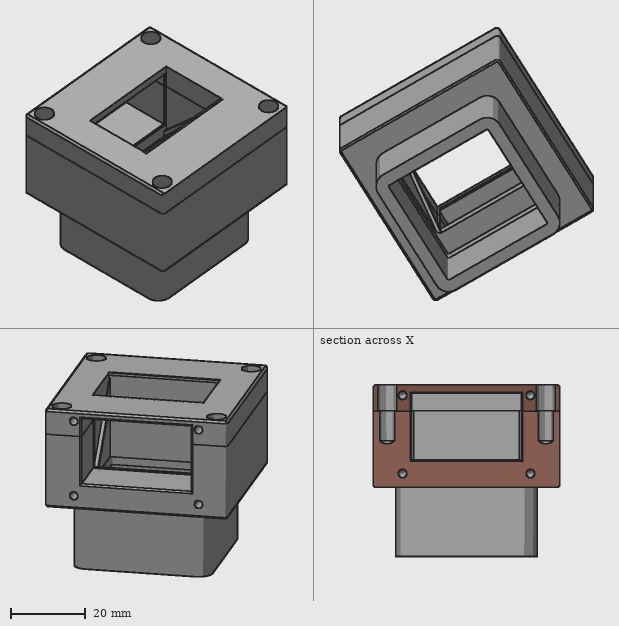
import cadquery as cq

block_side = 50.0
collar_height = 18.49
housing_height = 20.5
lid_height = 7.0
seam_z = collar_height + housing_height
top_z = seam_z + lid_height
corner_radius = 1.0
cut_overshoot = 1.0
top_chamfer = 0.6
bottom_chamfer = 0.5

collar_side = 37.9
collar_center_x = -0.76
collar_corner_radius = 3.9
collar_wall = 3.4
collar_bore = collar_side - 2 * collar_wall
bore_corner_radius = collar_corner_radius - collar_wall
bore_recess_depth = 3.7
shelf_z = collar_height + bore_recess_depth

cavity_min_x = -10.2
cavity_max_x = 10.2
cavity_width = 30.0

slot_width = 30.4
seat_offset = 34.1
slot_corner_x = cavity_max_x
slot_corner_z = top_z + 0.01
opening_max_x = 9.5

rail_gap = 28.2
rail_face_length = 1.6
rail_slope = (cavity_width - rail_gap) / 2
rail_root_depth = 1.0

window_width = cavity_width
window_bottom_z = 25.6
window_top_z = 43.95
window_end_x = -10.75
window_chamfer = 0.5
lip = 0.3

drill_tip_ratio = 0.6
lid_hole_spacing = 42.45
lid_hole_diameter = 5.2
insert_hole_diameter = 4.2
insert_hole_depth = 8.0
side_hole_diameter = 2.2
side_hole_depth = 6.0
side_hole_spacing = 34.2
side_hole_heights = (22.2, 43.15)


def box(min_x, max_x, width, min_z, max_z):
    """A box centred on the XZ plane."""
    return (
        cq.Workplane("XY")
        .box(max_x - min_x, width, max_z - min_z, centered=(False, True, False))
        .translate((min_x, 0, min_z))
    )


def blind_hole(diameter, depth):
    """A drill shape going down from the origin, with a conical tip."""
    radius = diameter / 2
    return (
        cq.Workplane("XZ")
        .polyline([(0, 0), (radius, 0), (radius, -depth), (0, -depth - radius * drill_tip_ratio)])
        .close()
        .revolve(360, (0, 0, 0), (0, 1, 0))
    )


def bore(height):
    """The collar's bore as a solid standing on Z = 0."""
    return (
        cq.Workplane("XY")
        .center(collar_center_x, 0)
        .rect(collar_bore, collar_bore)
        .extrude(height)
        .edges("|Z")
        .fillet(bore_corner_radius)
    )


def plate_slot():
    """The slot above the slanted seat, together with the opening over it."""
    roof_offset = slot_corner_z - slot_corner_x
    outline = [
        (cavity_min_x, cavity_min_x + seat_offset),
        (slot_corner_x, slot_corner_x + seat_offset),
        (slot_corner_x, slot_corner_z),
        (opening_max_x, opening_max_x + roof_offset),
        (opening_max_x, top_z + cut_overshoot),
        (cavity_min_x, top_z + cut_overshoot),
    ]
    return cq.Workplane("XZ").polyline(outline).close().extrude(slot_width / 2, both=True)


def lower_cavity():
    """The part of the cavity under the seat, down to the shelf."""
    outline = [
        (cavity_min_x, shelf_z),
        (cavity_max_x, shelf_z),
        (cavity_max_x, cavity_max_x + seat_offset),
        (cavity_min_x, cavity_min_x + seat_offset),
    ]
    return cq.Workplane("XZ").polyline(outline).close().extrude(cavity_width / 2, both=True)


def side_window():
    """The chamfered window in the -X wall, ending in a slightly smaller lip."""
    wall_x = -block_side / 2
    tunnel = box(wall_x, window_end_x, window_width, window_bottom_z, window_top_z)
    lip_opening = box(
        window_end_x, cavity_min_x, window_width - 2 * lip, window_bottom_z + lip, window_top_z - lip
    )
    mouth = (
        cq.Workplane("YZ", origin=(wall_x, 0, (window_bottom_z + window_top_z) / 2))
        .rect(window_width + 2 * window_chamfer, window_top_z - window_bottom_z + 2 * window_chamfer)
        .workplane(offset=window_chamfer)
        .rect(window_width, window_top_z - window_bottom_z)
        .loft(ruled=True)
    )
    return tunnel.union(lip_opening).union(mouth)


def rail(side):
    """One 45-degree rail on the wall at +Y (side = 1) or -Y (side = -1)."""
    top_x = seam_z - seat_offset
    run = seam_z - shelf_z
    inner_y = rail_gap / 2
    wall_y = inner_y + rail_slope
    root_y = wall_y + rail_root_depth
    section = [
        (top_x, root_y),
        (top_x, inner_y),
        (top_x + rail_face_length, inner_y),
        (top_x + rail_face_length + rail_slope, wall_y),
        (top_x + rail_face_length + rail_slope, root_y),
    ]
    wire = cq.Wire.makePolygon([cq.Vector(x, side * y, seam_z) for x, y in section], close=True)
    solid = cq.Solid.extrudeLinear(wire, [], cq.Vector(-run, 0, -run))
    reach = box(cavity_min_x - cut_overshoot, cavity_max_x, block_side, shelf_z, seam_z)
    return cq.Workplane(solid).intersect(reach)


def cut_side_holes(body, height):
    """A pair of blind screw holes in the -X face."""
    for side in (-1, 1):
        hole = blind_hole(side_hole_diameter, side_hole_depth).rotate((0, 0, 0), (0, 1, 0), -90)
        body = body.cut(hole.translate((-block_side / 2, side * side_hole_spacing / 2, height)))
    return body


def make_housing():
    body = box(-block_side / 2, block_side / 2, block_side, collar_height, seam_z)
    body = body.edges("|Z").fillet(corner_radius)
    body = body.faces("<Z").chamfer(bottom_chamfer)
    body = body.cut(lower_cavity())
    for side in (-1, 1):
        body = body.union(rail(side))
    body = body.cut(plate_slot()).cut(side_window()).cut(bore(shelf_z))
    inserts = (
        cq.Workplane("XY", origin=(0, 0, seam_z))
        .rect(lid_hole_spacing, lid_hole_spacing, forConstruction=True)
        .vertices()
        .eachpoint(blind_hole(insert_hole_diameter, insert_hole_depth).val(), useLocalCoordinates=True)
    )
    body = body.cut(inserts)
    return cut_side_holes(body, side_hole_heights[0])


def make_lid():
    block = box(-block_side / 2, block_side / 2, block_side, seam_z, top_z)
    rounded = block.edges("|Z").fillet(corner_radius)
    chamfered = block.faces(">Z").edges("<X or <Y or >Y").chamfer(top_chamfer)
    body = rounded.intersect(chamfered)
    body = body.cut(lower_cavity()).cut(plate_slot()).cut(side_window())
    screw_holes = (
        cq.Workplane("XY", origin=(0, 0, seam_z))
        .rect(lid_hole_spacing, lid_hole_spacing, forConstruction=True)
        .vertices()
        .circle(lid_hole_diameter / 2)
        .extrude(lid_height)
    )
    body = body.cut(screw_holes)
    return cut_side_holes(body, side_hole_heights[1])


def make_collar():
    tube = (
        cq.Workplane("XY")
        .center(collar_center_x, 0)
        .rect(collar_side, collar_side)
        .extrude(collar_height)
        .edges("|Z")
        .fillet(collar_corner_radius)
    )
    return tube.cut(bore(collar_height))


housing = make_housing()
lid = make_lid()
collar = make_collar()

result = cq.Compound.makeCompound([housing.val(), lid.val(), collar.val()])